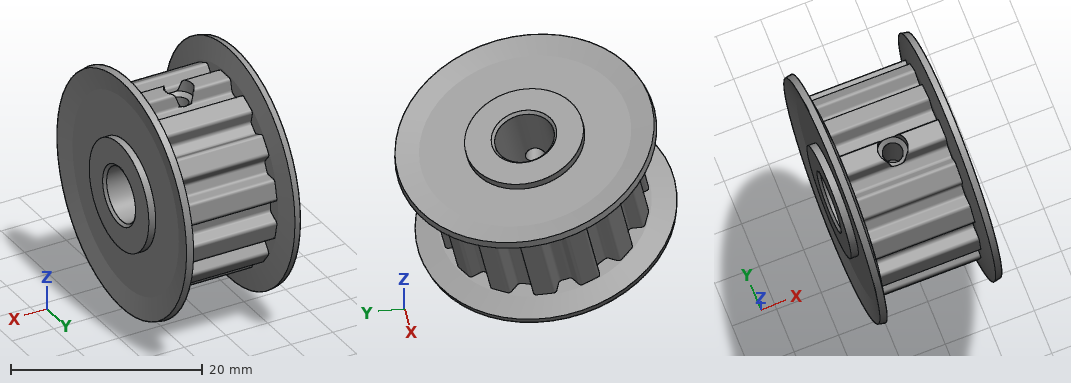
import cadquery as cq
import math

tooth_count = 14
tip_height = 11.05
groove_floor_height = 9.65
groove_floor_width = 1.33
flank_angle = 25.0
floor_fillet = 0.42
tip_fillet = 0.4
toothed_width = 11.12

flange_radius = 13.9
flange_thickness = 0.78
flange_bend_radius = 11.25
flange_cone_angle = 11.5

overall_width = 14.3
hub_radius = 6.3
bore_radius = 3.17
bore_chamfer = 0.3

screw_hole_radius = 1.08
screw_head_radius = 1.6
screw_head_floor = 9.65
screw_cone_height = 0.42

pitch_angle = 360.0 / tooth_count
half_toothed = toothed_width / 2
half_overall = overall_width / 2
cut_overshoot = 0.83


def make_groove():
    """Trapezoidal groove cutter on the +Z side with rounded floor corners."""
    cutter_top = tip_height + cut_overshoot
    half_floor = groove_floor_width / 2
    half_top = half_floor + (cutter_top - groove_floor_height) * math.tan(math.radians(flank_angle))
    return (
        cq.Workplane("YZ")
        .polyline([
            (-half_floor, groove_floor_height),
            (half_floor, groove_floor_height),
            (half_top, cutter_top),
            (-half_top, cutter_top),
        ])
        .close()
        .extrude(half_toothed, both=True)
        .faces("<Z")
        .edges("|X")
        .fillet(floor_fillet)
    )


def is_tip_edge(edge):
    """True for the lengthwise edges at the tooth tips."""
    center = edge.Center()
    return math.hypot(center.y, center.z) > tip_height


def make_toothed_body():
    """Prism with one flat per tooth, grooved at its corners; a tooth is centred on +Z."""
    corner_radius = tip_height / math.cos(math.radians(pitch_angle / 2))
    body = (
        cq.Workplane("YZ")
        .polygon(tooth_count, 2 * corner_radius)
        .extrude(half_toothed, both=True)
        .rotate((0, 0, 0), (1, 0, 0), 90 + pitch_angle / 2)
    )
    groove = make_groove()
    for index in range(tooth_count):
        body = body.cut(groove.rotate((0, 0, 0), (1, 0, 0), (index + 0.5) * pitch_angle))
    return body.edges("|X").filter(is_tip_edge).fillet(tip_fillet)


def make_flange():
    """Flange on the +X side, revolved from its bent sheet section."""
    angle = math.radians(flange_cone_angle)
    inner_x = half_toothed
    outer_x = inner_x + flange_thickness
    inner_bend_radius = flange_bend_radius + flange_thickness * math.tan(angle / 2)
    inner_rim_x = inner_x + (flange_radius - inner_bend_radius) * math.tan(angle)
    outer_rim_x = inner_rim_x + flange_thickness * math.cos(angle)
    outer_rim_radius = flange_radius - flange_thickness * math.sin(angle)
    return (
        cq.Workplane("XY")
        .polyline([
            (inner_x, 0),
            (inner_x, inner_bend_radius),
            (inner_rim_x, flange_radius),
            (outer_rim_x, outer_rim_radius),
            (outer_x, flange_bend_radius),
            (outer_x, 0),
        ])
        .close()
        .revolve(360, (0, 0, 0), (1, 0, 0))
    )


def make_bore():
    """Through bore along X with a chamfer at both ends."""
    mouth_radius = bore_radius + bore_chamfer
    return (
        cq.Workplane("XY")
        .polyline([
            (-half_overall, 0),
            (-half_overall, mouth_radius),
            (-half_overall + bore_chamfer, bore_radius),
            (half_overall - bore_chamfer, bore_radius),
            (half_overall, mouth_radius),
            (half_overall, 0),
        ])
        .close()
        .revolve(360, (0, 0, 0), (1, 0, 0))
    )


def make_screw_hole():
    """Radial hole from the bore to the tooth tip, widening through a cone."""
    return (
        cq.Workplane("XZ")
        .polyline([
            (0, 0),
            (screw_hole_radius, 0),
            (screw_hole_radius, screw_head_floor - screw_cone_height),
            (screw_head_radius, screw_head_floor),
            (screw_head_radius, tip_height + cut_overshoot),
            (0, tip_height + cut_overshoot),
        ])
        .close()
        .revolve(360, (0, 0, 0), (0, 1, 0))
    )


flange = make_flange()
hub = cq.Workplane("YZ").circle(hub_radius).extrude(half_overall, both=True)

result = (
    make_toothed_body()
    .union(flange)
    .union(flange.mirror("YZ"))
    .union(hub)
    .cut(make_bore())
    .cut(make_screw_hole())
)